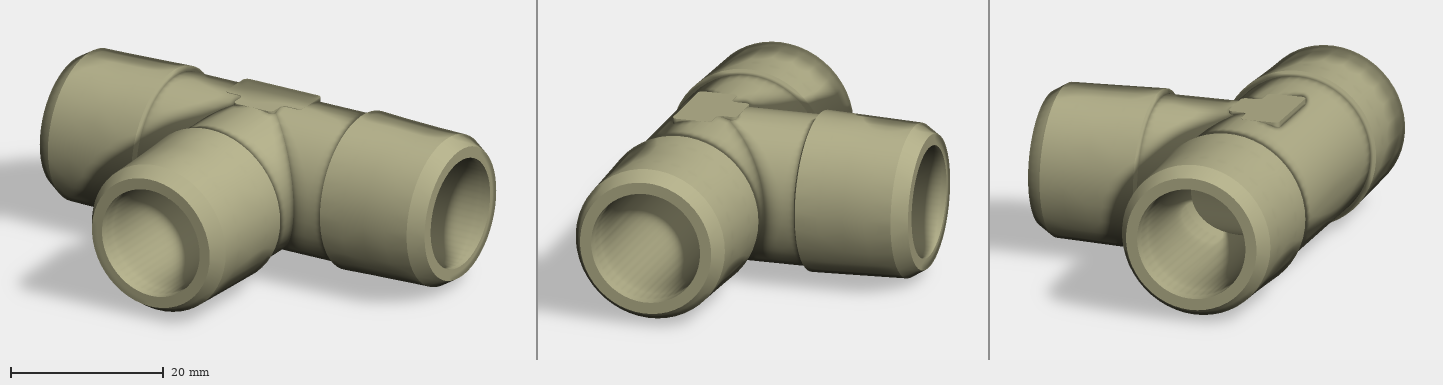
import cadquery as cq

arm_length = 29.5
pipe_diameter = 20.0
bore_diameter = 15.0

spigot_start = 14.1
lip_length = 0.35
spigot_max_radius = 10.7
spigot_tip_radius = 10.25
tip_radius = 9.0
tip_chamfer_length = 2.0

pad_half_width = 5.9
pad_stem_half_width = 3.0
pad_back_y = 4.0
pad_shoulder_y = -1.3
pad_front_y = -3.95
pad_corner_radius = 0.7

pipe_radius = pipe_diameter / 2
bore_radius = bore_diameter / 2


def make_arm():
    """Solid arm revolved about +X, starting at the centre of the tee."""
    profile = [
        (0, 0),
        (0, pipe_radius),
        (spigot_start, pipe_radius),
        (spigot_start + lip_length, spigot_max_radius),
        (arm_length - tip_chamfer_length, spigot_tip_radius),
        (arm_length, tip_radius),
        (arm_length, 0),
    ]
    return cq.Workplane("XY").polyline(profile).close().revolve(360, (0, 0, 0), (1, 0, 0))


def make_bore():
    """Bore along +X from the centre of the tee."""
    return cq.Workplane("YZ").circle(bore_radius).extrude(arm_length)


def make_pad():
    """T-shaped pad with rounded corners, filled up to the crown of the pipes."""
    outline = [
        (-pad_half_width, pad_back_y),
        (pad_half_width, pad_back_y),
        (pad_half_width, pad_shoulder_y),
        (pad_stem_half_width, pad_shoulder_y),
        (pad_stem_half_width, pad_front_y),
        (-pad_stem_half_width, pad_front_y),
        (-pad_stem_half_width, pad_shoulder_y),
        (-pad_half_width, pad_shoulder_y),
    ]
    pad = cq.Workplane("XY").polyline(outline).close().extrude(pipe_radius)
    return pad.edges("|Z").fillet(pad_corner_radius)


body = make_pad()
for angle in (0, 180, -90):
    body = body.union(make_arm().rotate((0, 0, 0), (0, 0, 1), angle))

for angle in (0, 180, -90):
    body = body.cut(make_bore().rotate((0, 0, 0), (0, 0, 1), angle))

result = body